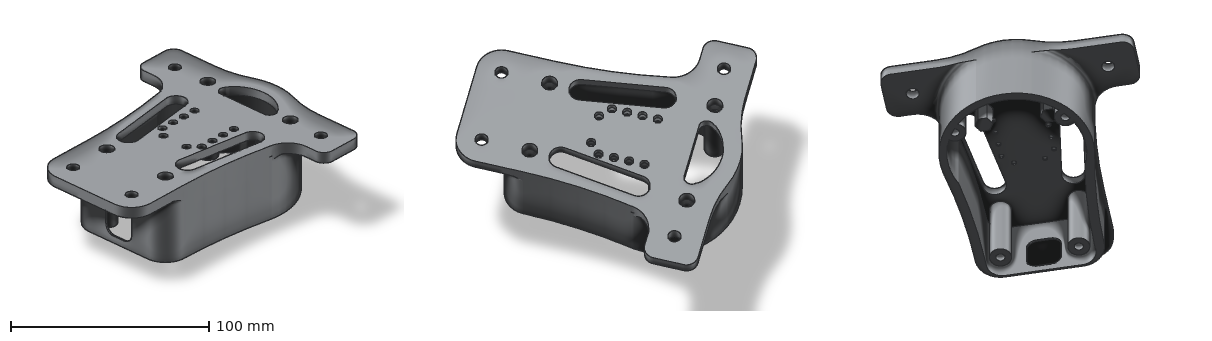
import cadquery as cq
import math

HEIGHT = 43.0
LENGTH = 142.2
PLATE_THICKNESS = 6.3
PLATE_BOTTOM_Z = HEIGHT - PLATE_THICKNESS
UNDERSIDE_FILLET = 3.0

FRONT_HALF_WIDTH = 33.0
FRONT_CORNER_RADIUS = 13.0
FRONT_CORNER_X = FRONT_HALF_WIDTH - FRONT_CORNER_RADIUS
FLANK_START_Y = 38.0

ROUND_RADIUS = 39.2
ROUND_CENTER = (0, LENGTH - ROUND_RADIUS)

ROUND_OVERHANG = ROUND_RADIUS - FRONT_HALF_WIDTH
FLANK_RUN = ROUND_CENTER[1] - FLANK_START_Y
FLANK_RADIUS = (FRONT_HALF_WIDTH**2 + FLANK_RUN**2 - ROUND_RADIUS**2) / (2 * ROUND_OVERHANG)
FLANK_CENTER = (FRONT_HALF_WIDTH + FLANK_RADIUS, FLANK_START_Y)

ARM_SPAN = 129.5
ARM_HALF_SPAN = ARM_SPAN / 2
ARM_FRONT_Y = 107.7
ARM_BACK_Y = 135.5
ARM_CORNER_RADIUS = 6.0
ARM_ROOT_START_X = 52.3
CROWN_SWEEP_START_X = 35.5

CEILING_THICKNESS = 5.0
CEILING_Z = HEIGHT - CEILING_THICKNESS
SIDE_WALL = 5.0
ROUND_WALL = 4.0
FRONT_WALL = 1.0
BOX_FRONT_Y = FLANK_START_Y - FRONT_CORNER_RADIUS
CAVITY_FRONT_Y = BOX_FRONT_Y + FRONT_WALL

WINDOW_WIDTH = 17.8
WINDOW_HEIGHT = 20.9
WINDOW_CENTER_Z = 14.5
WINDOW_CORNER_RADIUS = 5.5

SLOT_RADIUS = 6.0
SLOT_BACK = (26.3, 96.1)
SLOT_FRONT = (20.2, 54.2)
HANDLE_FRONT_Y = 117.0
HANDLE_BACK_Y = 132.8
HANDLE_HALF_WIDTH = 18.8
HANDLE_END_RADIUS = 4.0
HANDLE_SIDE_X = 16.6
HANDLE_SIDE_Y = 125.5

MOUNT_DIAMETER = 6.5
MOUNT_POINTS = [(50.0, 121.0), (FRONT_CORNER_X, FRONT_CORNER_RADIUS)]
SCREW_DIAMETER = 4.5
SCREW_HEAD_DIAMETER = 8.0
SCREW_HEAD_DEPTH = PLATE_THICKNESS
SCREW_POST_DIAMETER = 11.1
SCREW_POINTS = [(28.3, 121.8), (FRONT_CORNER_X, FLANK_START_Y)]
PIN_DIAMETER = 2.5
PIN_HEAD_DIAMETER = 4.5
PIN_HEAD_DEPTH = 2.8
PIN_PITCH = 8.0
PIN_ROW_COUNT = 4
PIN_ROW_X = 13.5
PIN_ROW_FRONT_Y = 72.0
INNER_PIN = (8.0, 66.8)
PIN_POINTS = [(PIN_ROW_X, PIN_ROW_FRONT_Y + i * PIN_PITCH) for i in range(PIN_ROW_COUNT)]
PIN_POINTS.append(INNER_PIN)

STUD_ACROSS_FLATS = 8.0
STUD_LENGTH = 12.0
STUD_POINTS = [(16.8, 103.5)]


def both_sides(points):
    return points + [(-x, y) for x, y in points]


def on_circle(center, radius, angle):
    return (center[0] + radius * math.cos(angle), center[1] + radius * math.sin(angle))


def angle_of(center, point):
    """Direction from a centre to a point, from 0 to a full turn."""
    return math.atan2(point[1] - center[1], point[0] - center[0]) % (2 * math.pi)


def arc_to(outline, center, radius, start_angle, end_angle):
    """Continue an outline along an arc about the given centre."""
    middle = on_circle(center, radius, (start_angle + end_angle) / 2)
    return outline.threePointArc(middle, on_circle(center, radius, end_angle))


def mirrored_prism(half_outline, bottom_z, top_z):
    """Extrude a right-hand half outline and join it to its mirror image."""
    half = half_outline.close().extrude(top_z - bottom_z).translate((0, 0, bottom_z))
    return half.union(half.mirror("YZ"))


def flank_end_angle(side_wall, round_wall):
    """Angle about the flank centre where the flank meets the round end."""
    flank_radius = FLANK_RADIUS + side_wall
    round_radius = ROUND_RADIUS - round_wall
    distance = math.dist(FLANK_CENTER, ROUND_CENTER)
    cosine = (flank_radius**2 + distance**2 - round_radius**2) / (2 * flank_radius * distance)
    return angle_of(FLANK_CENTER, ROUND_CENTER) + math.acos(min(cosine, 1))


def plate_prism(bottom_z, top_z):
    flank_angle = flank_end_angle(0, 0)
    flank_end = on_circle(FLANK_CENTER, FLANK_RADIUS, flank_angle)
    corner_center = (FRONT_CORNER_X, FRONT_CORNER_RADIUS)

    root_run = ARM_ROOT_START_X - flank_end[0]
    root_rise = ARM_FRONT_Y - flank_end[1]
    root_radius = (root_run**2 + root_rise**2) / (2 * root_rise)
    root_center = (ARM_ROOT_START_X, ARM_FRONT_Y - root_radius)
    root_angle = angle_of(root_center, flank_end)

    rise = ARM_BACK_Y - ROUND_CENTER[1]
    sweep_radius = (CROWN_SWEEP_START_X**2 + rise**2 - ROUND_RADIUS**2) / (2 * (ROUND_RADIUS - rise))
    sweep_center = (CROWN_SWEEP_START_X, ARM_BACK_Y + sweep_radius)
    crown_angle = angle_of(ROUND_CENTER, sweep_center)

    outline = cq.Workplane("XY").lineTo(FRONT_CORNER_X, 0)
    outline = arc_to(outline, corner_center, FRONT_CORNER_RADIUS, -math.pi / 2, 0)
    outline = outline.lineTo(FRONT_HALF_WIDTH, FLANK_START_Y)
    outline = arc_to(outline, FLANK_CENTER, FLANK_RADIUS, math.pi, flank_angle)
    outline = arc_to(outline, root_center, root_radius, root_angle, math.pi / 2)
    outline = outline.lineTo(ARM_HALF_SPAN, ARM_FRONT_Y).lineTo(ARM_HALF_SPAN, ARM_BACK_Y)
    outline = outline.lineTo(CROWN_SWEEP_START_X, ARM_BACK_Y)
    outline = arc_to(outline, sweep_center, sweep_radius, 1.5 * math.pi, math.pi + crown_angle)
    outline = arc_to(outline, ROUND_CENTER, ROUND_RADIUS, crown_angle, math.pi / 2)
    prism = mirrored_prism(outline, bottom_z, top_z)
    return prism.edges("|Z").edges("<X or >X").fillet(ARM_CORNER_RADIUS)


def box_prism(top_z, side_wall=0, round_wall=0, front_wall=0):
    """Prism from Z = 0 on the box outline, moved inwards by the given walls."""
    front_y = BOX_FRONT_Y + front_wall
    half_width = FRONT_HALF_WIDTH - side_wall
    corner_radius = FRONT_CORNER_RADIUS - side_wall
    corner_center = (half_width - corner_radius, front_y + corner_radius)
    flank_radius = FLANK_RADIUS + side_wall
    round_radius = ROUND_RADIUS - round_wall
    flank_angle = flank_end_angle(side_wall, round_wall)
    flank_end = on_circle(FLANK_CENTER, flank_radius, flank_angle)
    round_angle = angle_of(ROUND_CENTER, flank_end) - 2 * math.pi
    left_corner_center = (-corner_center[0], corner_center[1])
    left_flank_center = (-FLANK_CENTER[0], FLANK_CENTER[1])

    outline = cq.Workplane("XY").moveTo(0, front_y).lineTo(corner_center[0], front_y)
    outline = arc_to(outline, corner_center, corner_radius, -math.pi / 2, 0)
    if side_wall > front_wall:
        outline = outline.lineTo(half_width, FLANK_START_Y)
    outline = arc_to(outline, FLANK_CENTER, flank_radius, math.pi, flank_angle)
    outline = arc_to(outline, ROUND_CENTER, round_radius, round_angle, math.pi - round_angle)
    outline = arc_to(outline, left_flank_center, flank_radius, math.pi - flank_angle, 0)
    if side_wall > front_wall:
        outline = outline.lineTo(-half_width, corner_center[1])
    outline = arc_to(outline, left_corner_center, corner_radius, math.pi, 1.5 * math.pi)
    return outline.close().extrude(top_z)


def filleted_body():
    """Plate on the solid box, with the fillet between them cut off at the plate edge."""
    slab = (
        cq.Workplane("XY", origin=(0, LENGTH / 2, PLATE_BOTTOM_Z))
        .rect(2 * LENGTH, 2 * LENGTH)
        .extrude(PLATE_THICKNESS)
    )
    joint = cq.selectors.BoxSelector(
        (-ARM_HALF_SPAN, 0, PLATE_BOTTOM_Z - 0.1),
        (ARM_HALF_SPAN, LENGTH + 1.4, PLATE_BOTTOM_Z + 0.1),
    )
    flared_box = slab.union(box_prism(HEIGHT)).edges(joint).fillet(UNDERSIDE_FILLET)
    envelope = plate_prism(0, HEIGHT).union(box_prism(PLATE_BOTTOM_Z))
    return flared_box.intersect(envelope, clean=False)


def posts():
    """Full-height screw posts and the shorter hexagonal studs."""
    ceiling = cq.Workplane("XY", origin=(0, 0, CEILING_Z))
    screw_posts = (
        ceiling.pushPoints(both_sides(SCREW_POINTS))
        .circle(SCREW_POST_DIAMETER / 2)
        .extrude(-CEILING_Z)
    )
    stud_diameter = STUD_ACROSS_FLATS / math.cos(math.pi / 6)
    studs = ceiling.pushPoints(both_sides(STUD_POINTS)).polygon(6, stud_diameter).extrude(-STUD_LENGTH)
    return screw_posts.union(studs)


def window():
    return (
        cq.Workplane("XZ", origin=(0, CAVITY_FRONT_Y, WINDOW_CENTER_Z))
        .rect(WINDOW_WIDTH, WINDOW_HEIGHT)
        .extrude(CAVITY_FRONT_Y)
        .edges("|Y")
        .fillet(WINDOW_CORNER_RADIUS)
    )


def slots():
    run = SLOT_BACK[0] - SLOT_FRONT[0]
    rise = SLOT_BACK[1] - SLOT_FRONT[1]
    length = math.hypot(run, rise) + 2 * SLOT_RADIUS
    middle = ((SLOT_BACK[0] + SLOT_FRONT[0]) / 2, (SLOT_BACK[1] + SLOT_FRONT[1]) / 2)
    slot = (
        cq.Workplane("XY", origin=(*middle, CEILING_Z))
        .slot2D(length, 2 * SLOT_RADIUS, math.degrees(math.atan2(rise, run)))
        .extrude(CEILING_THICKNESS)
    )
    return slot.union(slot.mirror("YZ"))


def handle_opening():
    """Half-moon opening with rounded ends."""
    end_center = (HANDLE_HALF_WIDTH - HANDLE_END_RADIUS, HANDLE_FRONT_Y + HANDLE_END_RADIUS)
    rise = HANDLE_BACK_Y - HANDLE_SIDE_Y
    back_radius = (HANDLE_SIDE_X**2 + rise**2) / (2 * rise)
    back_center = (0, HANDLE_BACK_Y - back_radius)
    back_angle = angle_of(back_center, (HANDLE_SIDE_X, HANDLE_SIDE_Y))
    end_angle = math.pi / 4

    outline = cq.Workplane("XY").moveTo(0, HANDLE_FRONT_Y).lineTo(end_center[0], HANDLE_FRONT_Y)
    outline = arc_to(outline, end_center, HANDLE_END_RADIUS, -math.pi / 2, end_angle)
    outline = outline.lineTo(HANDLE_SIDE_X, HANDLE_SIDE_Y)
    outline = arc_to(outline, back_center, back_radius, back_angle, math.pi / 2)
    return mirrored_prism(outline, CEILING_Z, HEIGHT)


def drills(points, diameter, depth):
    top = cq.Workplane("XY", origin=(0, 0, HEIGHT))
    return top.pushPoints(both_sides(points)).circle(diameter / 2).extrude(-depth)


def head_seats(points, diameter, head_diameter, head_depth):
    """Straight head bores that end in a 45 degree cone down to the hole diameter."""
    cone_depth = (head_diameter - diameter) / 2
    cone = cq.Solid.makeCone(diameter / 2, head_diameter / 2, cone_depth)
    cone_bottom_z = HEIGHT - head_depth - cone_depth
    cones = (
        cq.Workplane("XY", origin=(0, 0, cone_bottom_z))
        .pushPoints(both_sides(points))
        .eachpoint(lambda place: cone.moved(place))
    )
    return drills(points, head_diameter, head_depth).union(cones)


cavity = box_prism(CEILING_Z, SIDE_WALL, ROUND_WALL, FRONT_WALL)

result = filleted_body().cut(cavity.cut(posts()), clean=False)

cutters = [
    window(),
    slots(),
    handle_opening(),
    drills(MOUNT_POINTS, MOUNT_DIAMETER, PLATE_THICKNESS),
    head_seats(PIN_POINTS, PIN_DIAMETER, PIN_HEAD_DIAMETER, PIN_HEAD_DEPTH),
    drills(PIN_POINTS, PIN_DIAMETER, CEILING_THICKNESS),
    head_seats(SCREW_POINTS, SCREW_DIAMETER, SCREW_HEAD_DIAMETER, SCREW_HEAD_DEPTH),
    drills(SCREW_POINTS, SCREW_DIAMETER, HEIGHT).intersect(cavity),
]
for cutter in cutters:
    result = result.cut(cutter, clean=False)